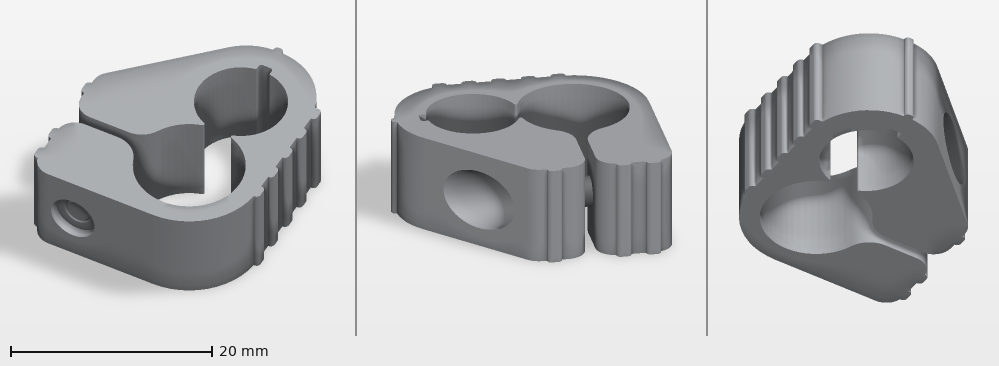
import cadquery as cq
import math

height = 10.0
total_width = 22.5
total_length = 26.0
rib_height = 0.5
rib_width = 1.5
rib_radius = 0.45
rib_pitch = 3.0
rib_root = 0.78

left_face = rib_height
right_face = total_width - rib_height
corner_radius = 2.0

large_radius = 5.62
wall = 2.05
outer_radius = large_radius + wall
large_x = right_face - outer_radius
large_y = outer_radius
small_radius = 4.68
small_x = 14.8
small_y = 17.73
cusp_radius = 0.18

crown_y = 25.5
slope_top = (10.11, 23.6)
slope_ratio = 0.97
crown_left_mid = (12.4, 25.1)
crown_right_mid = (19.3, 24.02)
shoulder = (21.65, 20.5)
shoulder_end_y = 18.98

key_width = 1.48
key_top = 23.15
key_radius = 0.3

gap_bottom = 7.72
gap_top = 8.81
lower_lip_radius = 3.0
upper_lip_radius = 2.75

right_rib_first_y = 7.72
right_rib_count = 5
left_rib_centres = (2.24, 2.24 + rib_pitch, 12.25)
top_rib_width = 1.0
top_rib_radius = 0.4

screw_x = 5.3
screw_z = height / 2
screw_diameter = 3.1
head_pocket_diameter = 6.2
head_pocket_floor = 13.78
nut_recess_diameter = 4.9
nut_recess_depth = 1.1
groove_outer_diameter = 3.0
groove_root_diameter = 2.75
groove_inner_diameter = 2.4
groove_depth = 0.2


def round_edges(body, points, radius):
    """Round the vertical edges that stand at the given XY points."""
    for x, y in points:
        selector = cq.selectors.NearestToPointSelector((x, y, height / 2))
        body = body.edges("|Z").edges(selector).fillet(radius)
    return body


def upright_box(x_min, x_max, y_min, y_max):
    """Full-height box between the given limits."""
    return cq.Workplane("XY").box(x_max - x_min, y_max - y_min, height, centered=False).translate((x_min, y_min, 0))


def cylinder_along_y(diameter, y_start, y_end):
    """Cylinder on the screw axis."""
    direction = cq.Vector(0, 1, 0)
    start = cq.Vector(screw_x, y_start, screw_z)
    return cq.Workplane(cq.Solid.makeCylinder(diameter / 2, y_end - y_start, start, direction))


def make_outline():
    slope_bottom_y = slope_top[1] - slope_ratio * (slope_top[0] - left_face)
    arc_mid = (large_x + outer_radius * math.sqrt(0.5), large_y - outer_radius * math.sqrt(0.5))
    body = (
        cq.Workplane("XY")
        .moveTo(left_face, 0)
        .lineTo(large_x, 0)
        .threePointArc(arc_mid, (right_face, large_y))
        .lineTo(right_face, shoulder_end_y)
        .lineTo(*shoulder)
        .threePointArc(crown_right_mid, (small_x, crown_y))
        .threePointArc(crown_left_mid, slope_top)
        .lineTo(left_face, slope_bottom_y)
        .close()
        .extrude(height)
    )
    return round_edges(body, [(left_face, 0), (left_face, slope_bottom_y)], corner_radius)


def cut_bores(body):
    large_bore = cq.Workplane("XY").center(large_x, large_y).circle(large_radius).extrude(height)
    small_bore = cq.Workplane("XY").center(small_x, small_y).circle(small_radius).extrude(height)
    keyway = upright_box(small_x - key_width / 2, small_x + key_width / 2, small_y, key_top)
    keyway = keyway.edges("|Z and >Y").fillet(key_radius)
    body = body.cut(large_bore).cut(small_bore).cut(keyway)

    dx = small_x - large_x
    dy = small_y - large_y
    spacing = math.hypot(dx, dy)
    along = (spacing**2 + large_radius**2 - small_radius**2) / (2 * spacing)
    across = math.sqrt(large_radius**2 - along**2)
    cusps = [
        (large_x + (along * dx - side * across * dy) / spacing, large_y + (along * dy + side * across * dx) / spacing)
        for side in (1, -1)
    ]
    return round_edges(body, cusps, cusp_radius)


def cut_gap(body):
    body = body.cut(upright_box(0, large_x, gap_bottom, gap_top))
    for y, lip_radius in ((gap_bottom, lower_lip_radius), (gap_top, upper_lip_radius)):
        lip_x = large_x - math.sqrt(large_radius**2 - (y - large_y) ** 2)
        body = round_edges(body, [(lip_x, y)], lip_radius)
        body = round_edges(body, [(left_face, y)], corner_radius)
    return body


def add_ribs(body):
    half = rib_width / 2
    for index in range(right_rib_count):
        y = right_rib_first_y + index * rib_pitch
        rib = upright_box(right_face - rib_root, total_width, y - half, y + half)
        body = body.union(rib.edges("|Z and >X").fillet(rib_radius))
    for y in left_rib_centres:
        rib = upright_box(0, left_face + rib_root, y - half, y + half)
        body = body.union(rib.edges("|Z and <X").fillet(rib_radius))
    half = top_rib_width / 2
    rib = upright_box(small_x - half, small_x + half, crown_y - rib_root, total_length)
    return body.union(rib.edges("|Z and >Y").fillet(top_rib_radius))


def add_screw(body):
    body = body.cut(cylinder_along_y(head_pocket_diameter, head_pocket_floor, total_length))
    body = body.cut(cylinder_along_y(nut_recess_diameter, 0, nut_recess_depth))
    groove = (
        cq.Workplane("XY")
        .moveTo(groove_inner_diameter / 2, nut_recess_depth)
        .lineTo(groove_outer_diameter / 2, nut_recess_depth)
        .lineTo(groove_root_diameter / 2, nut_recess_depth + groove_depth)
        .close()
        .revolve(360, (0, 0, 0), (0, 1, 0))
        .translate((screw_x, 0, screw_z))
    )
    body = body.cut(groove)
    return body.union(cylinder_along_y(screw_diameter, nut_recess_depth + 2 * groove_depth, head_pocket_floor))


result = add_screw(add_ribs(cut_gap(cut_bores(make_outline()))))